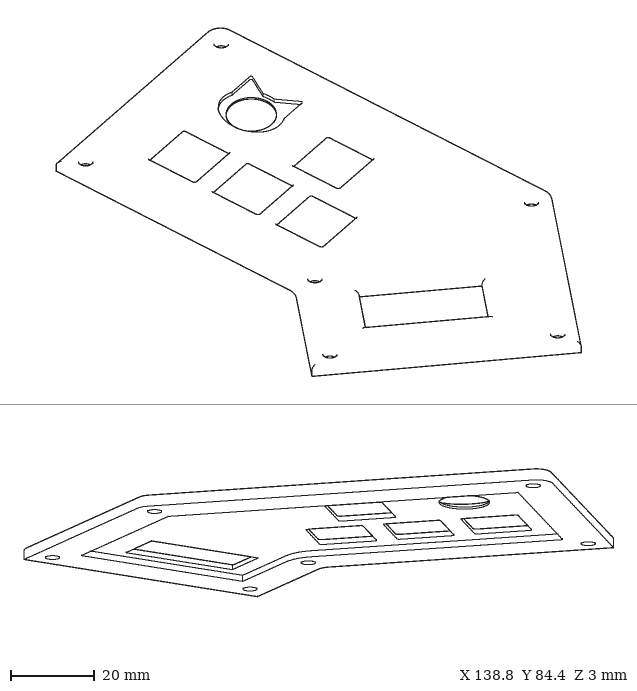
import cadquery as cq
import math

total_width = 138.78
total_depth = 84.42
thickness = 3.0
field_depth = 63.14
bend_x = 71.72
corner_radius = 4.0
underside_inset = 10.0
underside_depth = 1.5
edge_round = 1.0

screw_diameter = 3.4
screw_inset = 5.0

key_size = 14.0
key_corner_radius = 0.5
key_pitch = 19.05
middle_key_x = 42.4
key_row_y = 21.65

window_length = 29.5
window_width = 12.0
window_x = 100.35
window_y = 13.0

button_diameter = 12.0
button_x = 25.88
button_y = 42.65
recess_depth = 1.0
head_half_width = 8.4
head_half_height = 6.9
ear_half_span = 7.8
ear_height = 10.25
ear_root_x = 1.7
ear_tip_radius = 0.35

wing_angle = 45.0
wing_drop = total_depth - field_depth
tip_bottom = (bend_x + wing_drop, -wing_drop)
tip_right = (total_width, total_width - tip_bottom[0] - wing_drop)
shoulder_x = total_width - (field_depth - tip_right[1])


def outline_corners():
    return [
        (0, 0),
        (bend_x, 0),
        tip_bottom,
        tip_right,
        (shoulder_x, field_depth),
        (0, field_depth),
    ]


def plate():
    body = cq.Workplane("XY").polyline(outline_corners()).close().extrude(thickness)
    for x, y in [(bend_x, 0), (shoulder_x, field_depth), (0, field_depth)]:
        corner = cq.selectors.NearestToPointSelector((x, y, thickness / 2))
        body = body.edges("|Z").edges(corner).fillet(corner_radius)
    return body


def underside_pocket():
    outline = cq.Workplane("XY").polyline(outline_corners()).close()
    return outline.offset2D(-underside_inset).extrude(underside_depth)


def screw_points():
    bend_shift = screw_inset * math.tan(math.radians(wing_angle / 2))
    tip_inset = screw_inset * math.sqrt(2)
    return [
        (screw_inset, screw_inset),
        (screw_inset, field_depth - screw_inset),
        (shoulder_x - bend_shift, field_depth - screw_inset),
        (bend_x + bend_shift, screw_inset),
        (tip_bottom[0], tip_bottom[1] + tip_inset),
        (tip_right[0] - tip_inset, tip_right[1]),
    ]


def key_points():
    row = [(middle_key_x + i * key_pitch, key_row_y) for i in (-1, 0, 1)]
    upper_key = (middle_key_x + key_pitch / 2, key_row_y + key_pitch)
    return row + [upper_key]


def screw_holes():
    return cq.Workplane("XY").pushPoints(screw_points()).circle(screw_diameter / 2).extrude(thickness)


def key_openings():
    openings = cq.Workplane("XY").pushPoints(key_points()).rect(key_size, key_size).extrude(thickness)
    return openings.edges("|Z").fillet(key_corner_radius)


def window():
    opening = cq.Workplane("XY").rect(window_length, window_width).extrude(thickness)
    return opening.rotate((0, 0, 0), (0, 0, 1), wing_angle).translate((window_x, window_y, 0))


def ear(side):
    root_height = head_half_height * math.sqrt(1 - (ear_root_x / head_half_width) ** 2)
    corners = [
        (0, 0),
        (side * ear_half_span, 0),
        (side * ear_half_span, ear_height),
        (side * ear_root_x, root_height),
        (0, root_height),
    ]
    tip = cq.selectors.NearestToPointSelector((side * ear_half_span, ear_height, recess_depth / 2))
    body = cq.Workplane("XY").polyline(corners).close().extrude(recess_depth)
    return body.edges("|Z").edges(tip).fillet(ear_tip_radius)


def cat_recess():
    head = cq.Workplane("XY").ellipse(head_half_width, head_half_height).extrude(recess_depth)
    recess = head.union(ear(-1)).union(ear(1))
    return recess.translate((button_x, button_y, thickness - recess_depth))


def button_opening():
    return cq.Workplane("XY").center(button_x, button_y).circle(button_diameter / 2).extrude(thickness)


panel = plate().cut(screw_holes()).cut(key_openings()).cut(window())
panel = panel.faces(">Z").edges().fillet(edge_round)
result = panel.cut(underside_pocket()).cut(cat_recess()).cut(button_opening())